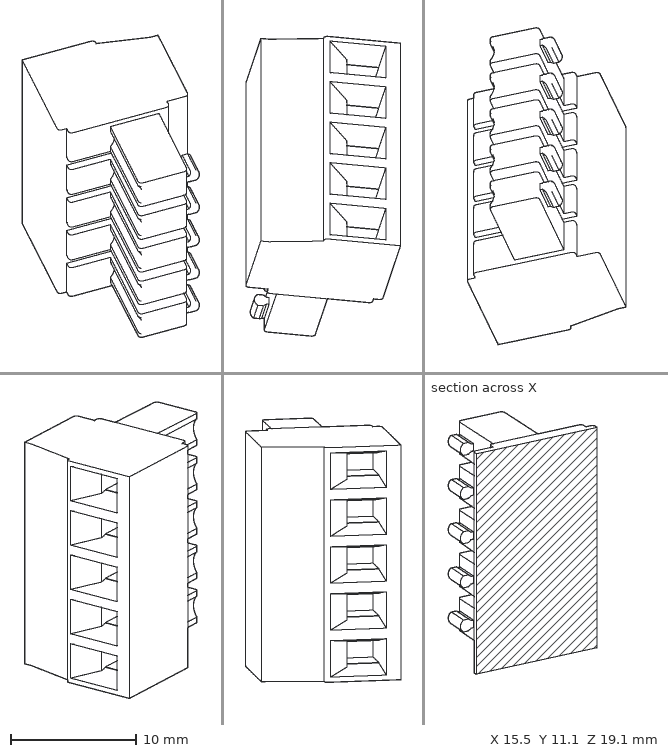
import cadquery as cq
import math

ways = 5
pitch = 3.81
height = ways * pitch
way_centres = [(i - (ways - 1) / 2) * pitch for i in range(ways)]

depth_y = 11.1
main_x = 8.29
step_x = 8.9
step_low_y = 0.72
step_high_y = 9.25
lip_x = 1.24
lip_low_y = 10.44
slope_x = 0.38
shelf_y = 6.17
corner_radius = 0.29

plug_end_x = 15.5
plug_low_y = 4.21
plug_high_y = 8.35
plug_root_width = 2.9
plug_end_width = 2.75
groove_diameter = 2.8
groove_width = 1.8
end_radius = 0.3

key_start_x = 13.01
key_end_x = 15.2
key_diameter = 1.2
key_top_y = 9.55
key_side_y = 8.8
key_neck_y = 8.55
key_half_width = 0.51
key_stem_half_width = 0.32

funnel_low_y = 1.2
bore_low_y = 1.35
funnel_high_y = 5.73
bore_high_y = 4.02
funnel_ramp_depth = 1.87
funnel_depth = 2.38
entry_depth = 4.76
mouth_width = 2.95
funnel_end_width = 1.87
bore_width = 1.8


def prism_along_z(points, length):
    """Outline in X and Y, extruded evenly about Z = 0."""
    return cq.Workplane("XY").polyline(points).close().extrude(length / 2, both=True)


def make_housing():
    outline = [
        (0, 0),
        (main_x, 0),
        (main_x, step_low_y),
        (step_x, step_low_y),
        (step_x, step_high_y),
        (main_x, step_high_y),
        (main_x, depth_y),
        (lip_x, depth_y),
        (lip_x, lip_low_y),
        (slope_x, shelf_y),
        (0, shelf_y),
    ]
    rounded_corners = [
        (main_x, 0),
        (step_x, step_low_y),
        (step_x, step_high_y),
        (main_x, depth_y),
        (0, shelf_y),
    ]
    housing = prism_along_z(outline, height)
    for x, y in rounded_corners:
        housing = housing.edges(cq.NearestToPointSelector((x, y, 0))).fillet(corner_radius)
    return housing


def make_step_gap():
    """Gap through the raised step between two neighbouring plugs."""
    gap_width = pitch - plug_root_width
    gap = cq.Workplane("XY", origin=(main_x, 0, 0))
    return gap.box(step_x - main_x, depth_y, gap_width, centered=(False, False, True))


def make_funnel():
    """Wire entry: a ramp and closing walls that lead into a straight bore."""
    side_outline = [
        (0, funnel_low_y),
        (0, funnel_high_y),
        (funnel_ramp_depth, bore_high_y),
        (entry_depth, bore_high_y),
        (entry_depth, bore_low_y),
        (funnel_depth, bore_low_y),
    ]
    plan_outline = [
        (0, -mouth_width / 2),
        (0, mouth_width / 2),
        (funnel_depth, funnel_end_width / 2),
        (funnel_depth, bore_width / 2),
        (entry_depth, bore_width / 2),
        (entry_depth, -bore_width / 2),
        (funnel_depth, -bore_width / 2),
        (funnel_depth, -funnel_end_width / 2),
    ]
    plan = cq.Workplane("XZ").polyline(plan_outline).close().extrude(-depth_y)
    return prism_along_z(side_outline, pitch).intersect(plan)


def make_plug():
    """Tapered plug with a round groove along its lower side and a rounded end."""
    outline = [
        (step_x, -plug_root_width / 2),
        (plug_end_x, -plug_end_width / 2),
        (plug_end_x, plug_end_width / 2),
        (step_x, plug_root_width / 2),
    ]
    body = (
        cq.Workplane("XZ", origin=(0, plug_low_y, 0))
        .polyline(outline)
        .close()
        .extrude(plug_low_y - plug_high_y)
    )
    groove_radius = groove_diameter / 2
    groove_y = plug_low_y - math.sqrt(groove_radius**2 - (groove_width / 2) ** 2)
    groove = (
        cq.Workplane("YZ", origin=(step_x, groove_y, 0))
        .circle(groove_radius)
        .extrude(plug_end_x - step_x)
    )
    return body.cut(groove).faces(">X").edges("not |Y").fillet(end_radius)


def make_key():
    """Mushroom-shaped coding key: stem, flared neck, flat sides and a round crown."""
    radius = key_diameter / 2
    key_root_y = plug_high_y - end_radius
    crown_y = key_top_y - radius + math.sqrt(radius**2 - key_half_width**2)
    key = (
        cq.Workplane("YZ", origin=(key_start_x, 0, 0))
        .moveTo(key_root_y, -key_stem_half_width)
        .lineTo(key_neck_y, -key_stem_half_width)
        .lineTo(key_side_y, -key_half_width)
        .lineTo(crown_y, -key_half_width)
        .threePointArc((key_top_y, 0), (crown_y, key_half_width))
        .lineTo(key_side_y, key_half_width)
        .lineTo(key_neck_y, key_stem_half_width)
        .lineTo(key_root_y, key_stem_half_width)
        .close()
        .extrude(key_end_x - key_start_x)
    )
    crown_edges = cq.selectors.BoxSelector(
        (key_start_x, key_side_y, -radius), (plug_end_x, depth_y, radius)
    )
    return key.faces(">X").edges(crown_edges).fillet(end_radius)


result = make_housing()

for lower, upper in zip(way_centres, way_centres[1:]):
    result = result.cut(make_step_gap().translate((0, 0, (lower + upper) / 2)))

for z in way_centres:
    result = result.cut(make_funnel().translate((0, 0, z)))
    result = result.union(make_plug().union(make_key()).translate((0, 0, z)))